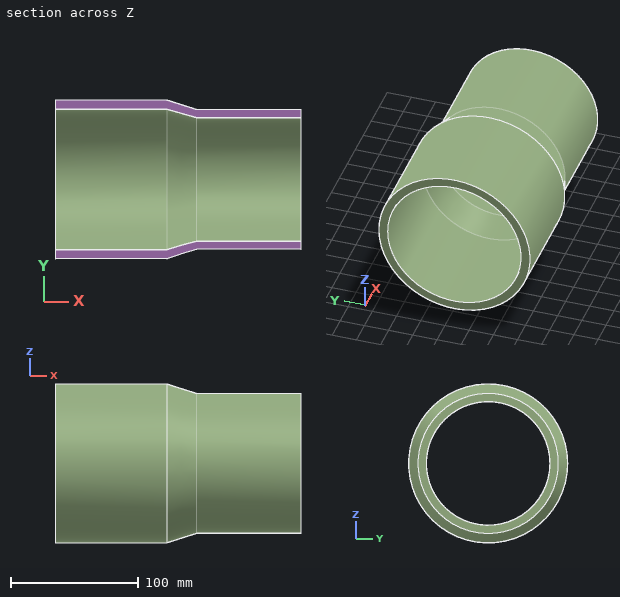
import cadquery as cq

socket_outer_diameter = 125.0
socket_bore_diameter = 110.2
spigot_outer_diameter = 110.0
spigot_bore_diameter = 96.8

total_length = 193.0
socket_length = 87.5
taper_length = 23.5
taper_end = socket_length + taper_length


def stepped_body(wide_diameter, narrow_diameter):
    """Solid of revolution about X: wide cylinder, cone, narrow cylinder."""
    wide_radius = wide_diameter / 2
    narrow_radius = narrow_diameter / 2
    return (
        cq.Workplane("XY")
        .moveTo(0, 0)
        .lineTo(0, wide_radius)
        .lineTo(socket_length, wide_radius)
        .lineTo(taper_end, narrow_radius)
        .lineTo(total_length, narrow_radius)
        .lineTo(total_length, 0)
        .close()
        .revolve(360, (0, 0, 0), (1, 0, 0))
    )


outer_body = stepped_body(socket_outer_diameter, spigot_outer_diameter)
bore = stepped_body(socket_bore_diameter, spigot_bore_diameter)

result = outer_body.cut(bore)